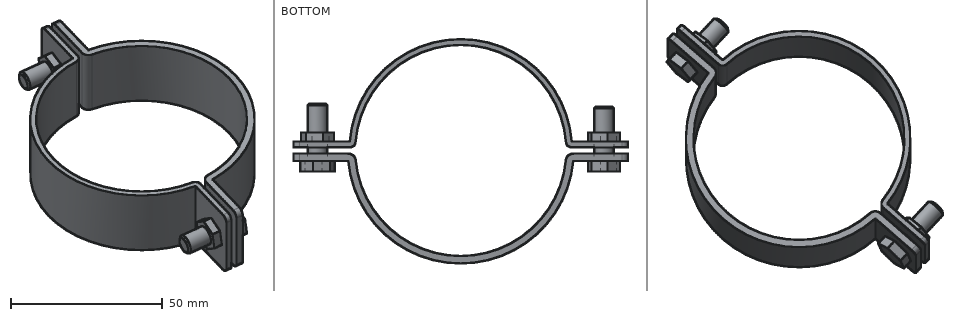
import cadquery as cq
import math

INNER_RADIUS = 34.9
BAND_WIDTH = 25.0
OVERALL_LENGTH = 110.7
BAND_GAP = 2.0
REAR_THICKNESS = 2.5
FRONT_THICKNESS = 2.0
EAR_CORNER_RADIUS = 2.0

BOLT_SPACING = 94.7
SHANK_DIAMETER = 6.5
TIP_CHAMFER = 0.7
HEAD_HEIGHT = 3.4
NUT_HEIGHT = 3.0
NUT_CORNER_RADIUS = 5.59
LARGE_HEAD_CORNER_RADIUS = 5.92
LEFT_TIP_REACH = 15.6
RIGHT_TIP_REACH = 14.6
LEFT_NUT_ANGLE = -11.8
LEFT_HEAD_ANGLE = 15.0
RIGHT_HEX_ANGLE = -18.2

HALF_LENGTH = OVERALL_LENGTH / 2
HALF_GAP = BAND_GAP / 2
BOLT_X = BOLT_SPACING / 2
REAR_EAR_FACE = HALF_GAP + REAR_THICKNESS
FRONT_EAR_FACE = HALF_GAP + FRONT_THICKNESS


def cylinder_along_y(x, diameter, y_start, y_end):
    """Solid cylinder between two Y positions, centred on the line through x."""
    plane = cq.Plane(origin=(x, y_start, 0), xDir=(1, 0, 0), normal=(0, 1, 0))
    return cq.Workplane(plane).circle(diameter / 2).extrude(y_end - y_start)


def hexagon_along_y(x, corner_radius, angle, y_start, y_end):
    """Hexagonal prism with one corner pointing at angle in the XZ plane."""
    corners = []
    for side in range(6):
        turn = math.radians(angle + 60 * side)
        corners.append((corner_radius * math.cos(turn), corner_radius * math.sin(turn)))
    plane = cq.Workplane("XZ", origin=(x, y_end, 0))
    return plane.polyline(corners).close().extrude(y_end - y_start)


def make_band(thickness):
    """Half ring on the +Y side with an ear at each end."""
    outer_radius = INNER_RADIUS + thickness
    ear_face = HALF_GAP + thickness
    outer_x = math.sqrt(outer_radius**2 - ear_face**2)
    inner_x = math.sqrt(INNER_RADIUS**2 - HALF_GAP**2)
    band = (
        cq.Workplane("XY", origin=(0, 0, -BAND_WIDTH / 2))
        .moveTo(-HALF_LENGTH, HALF_GAP)
        .lineTo(-HALF_LENGTH, ear_face)
        .lineTo(-outer_x, ear_face)
        .threePointArc((0, outer_radius), (outer_x, ear_face))
        .lineTo(HALF_LENGTH, ear_face)
        .lineTo(HALF_LENGTH, HALF_GAP)
        .lineTo(inner_x, HALF_GAP)
        .threePointArc((0, INNER_RADIUS), (-inner_x, HALF_GAP))
        .close()
        .extrude(BAND_WIDTH)
    )

    for bend_x in (-inner_x, inner_x):
        bend_edge = cq.selectors.NearestToPointSelector((bend_x, HALF_GAP, 0))
        band = band.edges("|Z").edges(bend_edge).fillet(thickness)
    band = band.faces("<X or >X").edges("|Y").fillet(EAR_CORNER_RADIUS)

    for x in (-BOLT_X, BOLT_X):
        band = band.cut(cylinder_along_y(x, SHANK_DIAMETER, HALF_GAP, ear_face))
    return band


def make_bolt(x, tip_reach, head_corner_radius, head_angle, nut_angle):
    """Bolt pointing along -Y, head against the rear ear, nut against the front ear."""
    shank = cylinder_along_y(x, SHANK_DIAMETER, -tip_reach, REAR_EAR_FACE)
    shank = shank.faces("<Y").chamfer(TIP_CHAMFER)
    head = hexagon_along_y(
        x, head_corner_radius, head_angle, REAR_EAR_FACE, REAR_EAR_FACE + HEAD_HEIGHT
    )
    nut = hexagon_along_y(
        x, NUT_CORNER_RADIUS, nut_angle, -FRONT_EAR_FACE - NUT_HEIGHT, -FRONT_EAR_FACE
    )
    return shank.union(head).union(nut)


rear_band = make_band(REAR_THICKNESS)
front_band = make_band(FRONT_THICKNESS).mirror("XZ")

bolt_variants = [
    (-BOLT_X, LEFT_TIP_REACH, LARGE_HEAD_CORNER_RADIUS, LEFT_HEAD_ANGLE, LEFT_NUT_ANGLE),
    (BOLT_X, RIGHT_TIP_REACH, NUT_CORNER_RADIUS, RIGHT_HEX_ANGLE, RIGHT_HEX_ANGLE),
]
bolts = [make_bolt(*variant).val() for variant in bolt_variants]

bolt_solids = [solid for bolt in bolts for solid in bolt.Solids()]

result = cq.Compound.makeCompound([rear_band.val(), front_band.val(), *bolt_solids])